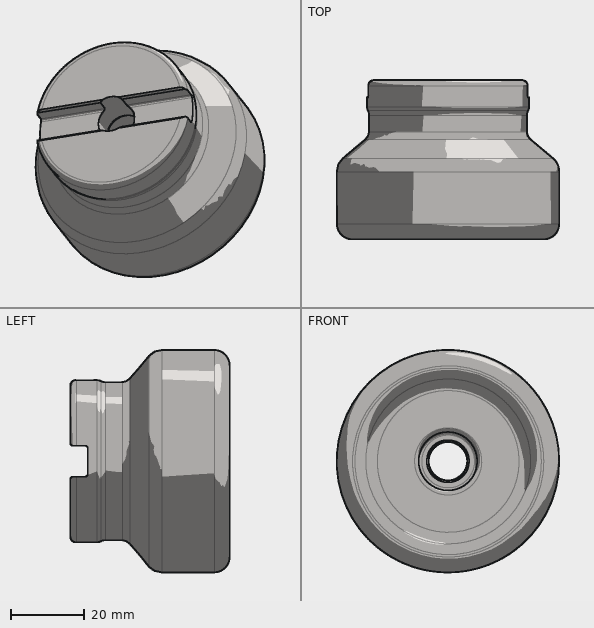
import cadquery as cq
import math

length = 43.65
body_radius = 60.93 / 2

head_radius = 44.45 / 2
neck_radius = 43.3 / 2
head_edge_fillet = 1.5875
head_length = 7.3
neck_blend_length = 2.35
neck_blend_inflection = 0.42

cone_start = 15.45
cone_end = 22.86
cone_neck_fillet = 2.75
cone_body_fillet = 4.7625

rim_fillet = 4.3
dish_mouth_radius = 25.5
dish_floor_radius = 19.4
dish_depth = 2.78
dish_inflection = 0.48

bore_radius = 16 / 2
bore_mouth_fillet = 1.19
bore_floor_fillet = 0.79
through_radius = 10.49 / 2
through_edge_chamfer = 0.55
web_thickness = 12.7

slot_width = 8.4
slot_depth = 4.7625
slot_corner_radius = 0.6
slot_mouth_chamfer = 0.55


def between(start, end, share):
    """Point lying the given share of the way from start to end."""
    return tuple(a + share * (b - a) for a, b in zip(start, end))


def circle_edges(solid, radius, y):
    """Full circular edges about the axis with the given radius and position."""
    tolerance = 0.01

    def matches(edge):
        return (
            edge.geomType() == "CIRCLE"
            and abs(edge.radius() - radius) < tolerance
            and abs(edge.Center().y - y) < tolerance
        )

    return solid.newObject([edge for edge in solid.edges().vals() if matches(edge)])


def make_body():
    """Revolved body with the S-shaped neck step and the dished front."""
    dish_mouth = (dish_mouth_radius, 0)
    dish_floor = (dish_floor_radius, dish_depth)
    head_end = (head_radius, length - head_length)
    neck_start = (neck_radius, length - head_length - neck_blend_length)
    neck_end = length - cone_start
    body_end = length - cone_end
    profile = (
        cq.Workplane("XY")
        .moveTo(0, length)
        .lineTo(head_radius, length)
        .lineTo(*head_end)
        .tangentArcPoint(between(head_end, neck_start, neck_blend_inflection), relative=False)
        .tangentArcPoint(neck_start, relative=False)
        .lineTo(neck_radius, neck_end)
        .lineTo(body_radius, body_end)
        .lineTo(body_radius, 0)
        .lineTo(*dish_mouth)
        .tangentArcPoint(between(dish_mouth, dish_floor, dish_inflection), relative=False)
        .tangentArcPoint(dish_floor, relative=False)
        .lineTo(0, dish_depth)
        .close()
    )
    body = profile.revolve(360, (0, 0, 0), (0, 1, 0))
    body = circle_edges(body, head_radius, length).fillet(head_edge_fillet)
    body = circle_edges(body, neck_radius, neck_end).fillet(cone_neck_fillet)
    body = circle_edges(body, body_radius, body_end).fillet(cone_body_fillet)
    return circle_edges(body, body_radius, 0).fillet(rim_fillet)


def cylinder_along_axis(radius, start, end):
    """Cylinder about the Y axis from Y = start to Y = end."""
    base_center = cq.Vector(0, start, 0)
    axis = cq.Vector(0, 1, 0)
    return cq.Workplane(cq.Solid.makeCylinder(radius, end - start, base_center, axis))


def cut_stepped_hole(body):
    """Blind bore from the dish floor with a smaller hole through the web."""
    bore_floor = length - web_thickness
    body = body.cut(cylinder_along_axis(bore_radius, 0, bore_floor))
    body = body.cut(cylinder_along_axis(through_radius, 0, length))
    body = circle_edges(body, bore_radius, dish_depth).fillet(bore_mouth_fillet)
    body = circle_edges(body, bore_radius, bore_floor).fillet(bore_floor_fillet)
    return circle_edges(body, through_radius, bore_floor).chamfer(through_edge_chamfer)


def make_slot_cutter():
    """Prism along X with rounded floor corners and a chamfered mouth."""
    half_width = slot_width / 2
    floor = length - slot_depth
    mouth = length - slot_mouth_chamfer
    mouth_half_width = half_width + slot_mouth_chamfer
    r = slot_corner_radius
    inset = r * (1 - math.cos(math.radians(45)))
    return (
        cq.Workplane("YZ")
        .moveTo(floor + r, half_width)
        .lineTo(mouth, half_width)
        .lineTo(length, mouth_half_width)
        .lineTo(length, -mouth_half_width)
        .lineTo(mouth, -half_width)
        .lineTo(floor + r, -half_width)
        .threePointArc((floor + inset, -half_width + inset), (floor, -half_width + r))
        .lineTo(floor, half_width - r)
        .threePointArc((floor + inset, half_width - inset), (floor + r, half_width))
        .close()
        .extrude(head_radius, both=True)
    )


result = cut_stepped_hole(make_body()).cut(make_slot_cutter())